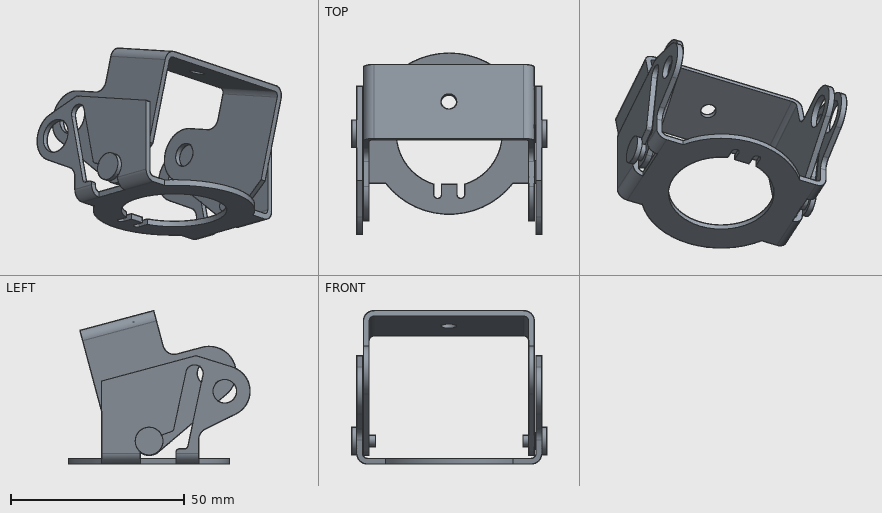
import cadquery as cq
import math


SHEET = 1.7
BEND_RADIUS = 3.1

BASE_WIDTH = 53.35
BASE_HALF = BASE_WIDTH / 2
BASE_BACK = 13.7
BASE_FRONT = -14.3
RING_RADIUS = 23.25
BORE_RADIUS = 15.2
KEY_SLOT_WIDTH = 2.15
KEY_SLOT_SPACING = 6.7
KEY_SLOT_END = -18.65

PLATE_BACK_HEIGHT = 23.95
PLATE_PEAK = (-13.5, 31.25)
PLATE_EYE = (-21.8, 21.0)
PLATE_EYE_RADIUS = 7.3
PLATE_CHIN_ANGLE = 26.2
PLATE_NECK_FILLET = 3.5

LEFT_HOLE_RADIUS = 3.4
RIGHT_HOLE_RADIUS = 4.85

PIN_HEIGHT = 6.65
PIN_SPAN = 56.35
PIN_TIP_SPAN = 42.35
HEAD_RADIUS = 4.0
COLLAR_RADIUS = 2.5
SHANK_RADIUS = 1.7

GUIDE_TOP = (-13.05, 26.15)
GUIDE_LEAN = 12.0
GUIDE_SEAT_ANGLE = 30.0
GUIDE_CORNER = (-7.0, 9.6)
GUIDE_FLOOR = 4.45
NOTCH_FRONT = -7.7
GUIDE_FILLET = 1.0

BAIL_TILT = 15.0
BAIL_WIDTH = 49.3
BAIL_HALF = BAIL_WIDTH / 2
BAIL_OFFSET = -0.1
BAIL_HEIGHT = 36.0
BAIL_DEPTH = 22.1
BAIL_BACK_CORNER = 8.45
BAIL_FOOT_RADIUS = 4.15
BAIL_EYE = (-21.75, 14.35)
BAIL_EYE_RADIUS = 7.85
BAIL_INNER_FILLET = 3.2
BAIL_TOP_HOLE = 4.5


def on_circle(centre, radius, degrees):
    """Point on a circle at the given angle."""
    angle = math.radians(degrees)
    return (centre[0] + radius * math.cos(angle), centre[1] + radius * math.sin(angle))


def tangent_angle(point, centre, radius, side):
    """Angle on a circle where a line from an outside point touches it; side is +1 or -1."""
    dy = point[0] - centre[0]
    dz = point[1] - centre[1]
    opening = math.acos(radius / math.hypot(dy, dz))
    return math.degrees(math.atan2(dz, dy) + side * opening)


def across_x(outline, x_start, x_end):
    """Extrude a closed (Y, Z) outline between two X positions."""
    return outline.extrude(x_end - x_start).translate((x_start, 0, 0))


def rod(radius, centre, x_start, x_end):
    """Cylinder along X around a (Y, Z) centre."""
    return across_x(cq.Workplane("YZ").center(*centre).circle(radius), x_start, x_end)


def channel(width, height, y_start, y_end):
    """U-shaped sheet, open at the top, with its web on Z = 0 and rounded bends."""
    outer = (
        cq.Workplane("XY").box(width, y_end - y_start, height, centered=(True, False, False))
        .edges("|Y and <Z").fillet(BEND_RADIUS)
    )
    inner = (
        cq.Workplane("XY").box(width - 2 * SHEET, y_end - y_start, height, centered=(True, False, False))
        .edges("|Y and <Z").fillet(BEND_RADIUS - SHEET)
        .translate((0, 0, SHEET))
    )
    return outer.cut(inner).translate((0, y_start, 0))


def cut_eye_holes(body, centre):
    """Cut the small eye hole on the left side and the large one on the right side."""
    body = body.cut(rod(LEFT_HOLE_RADIUS, centre, -BASE_HALF, 0))
    return body.cut(rod(RIGHT_HOLE_RADIUS, centre, 0, BASE_HALF))


def plate_blank():
    """Side outline of the upright plates, extruded over the full width."""
    upper = on_circle(PLATE_EYE, PLATE_EYE_RADIUS, tangent_angle(PLATE_PEAK, PLATE_EYE, PLATE_EYE_RADIUS, 1))
    lower = on_circle(PLATE_EYE, PLATE_EYE_RADIUS, -90 - PLATE_CHIN_ANGLE)
    neck_height = lower[1] - (BASE_FRONT - lower[0]) * math.tan(math.radians(PLATE_CHIN_ANGLE))
    outline = (
        cq.Workplane("YZ")
        .moveTo(BASE_FRONT, 0)
        .lineTo(BASE_BACK, 0)
        .lineTo(BASE_BACK, PLATE_BACK_HEIGHT)
        .lineTo(*PLATE_PEAK)
        .lineTo(*upper)
        .threePointArc(on_circle(PLATE_EYE, PLATE_EYE_RADIUS, 180), lower)
        .lineTo(BASE_FRONT, neck_height)
        .close()
    )
    neck = cq.selectors.NearestToPointSelector((0, BASE_FRONT, neck_height))
    return across_x(outline, -BASE_HALF, BASE_HALF).edges("|X").edges(neck).fillet(PLATE_NECK_FILLET)


def guide_slot(x_start, x_end):
    """Guide slot with its pin seat and the notch that opens it through the bend."""
    pin = (0, PIN_HEIGHT)
    seat_end = on_circle(pin, COLLAR_RADIUS, 180 - GUIDE_SEAT_ANGLE)
    lean = math.radians(GUIDE_LEAN)
    front_wall = on_circle(GUIDE_TOP, COLLAR_RADIUS, 180 + GUIDE_LEAN)
    floor_front = front_wall[0] + (front_wall[1] - GUIDE_FLOOR) * math.tan(lean)
    outline = (
        cq.Workplane("YZ")
        .moveTo(COLLAR_RADIUS, 0)
        .lineTo(COLLAR_RADIUS, PIN_HEIGHT)
        .threePointArc(on_circle(pin, COLLAR_RADIUS, 90), seat_end)
        .lineTo(*GUIDE_CORNER)
        .lineTo(*on_circle(GUIDE_TOP, COLLAR_RADIUS, GUIDE_LEAN))
        .threePointArc(on_circle(GUIDE_TOP, COLLAR_RADIUS, 90 + GUIDE_LEAN), front_wall)
        .lineTo(floor_front, GUIDE_FLOOR)
        .lineTo(NOTCH_FRONT, GUIDE_FLOOR)
        .lineTo(NOTCH_FRONT, 0)
        .close()
    )
    slot = across_x(outline, x_start, x_end)
    for corner in (GUIDE_CORNER, (floor_front, GUIDE_FLOOR), (NOTCH_FRONT, GUIDE_FLOOR)):
        nearest = cq.selectors.NearestToPointSelector(((x_start + x_end) / 2, *corner))
        slot = slot.edges("|X").edges(nearest).fillet(GUIDE_FILLET)
    return slot


def floor_opening():
    """Bore of the ring with the flat-topped key between two round-ended slots."""
    slot_outer_edge = (KEY_SLOT_SPACING + KEY_SLOT_WIDTH) / 2
    key_face = -math.sqrt(BORE_RADIUS**2 - slot_outer_edge**2)
    opening = cq.Workplane("XY").circle(BORE_RADIUS).extrude(SHEET)
    below_key = cq.Workplane("XY").box(2 * BORE_RADIUS, BORE_RADIUS, SHEET, centered=(True, False, False))
    opening = opening.cut(below_key.translate((0, key_face - BORE_RADIUS, 0)))
    slot_end_centre = KEY_SLOT_END + KEY_SLOT_WIDTH / 2
    for x in (-KEY_SLOT_SPACING / 2, KEY_SLOT_SPACING / 2):
        end = cq.Workplane("XY").center(x, slot_end_centre).circle(KEY_SLOT_WIDTH / 2).extrude(SHEET)
        straight = (
            cq.Workplane("XY").center(x, slot_end_centre / 2)
            .rect(KEY_SLOT_WIDTH, -slot_end_centre).extrude(SHEET)
        )
        opening = opening.union(end).union(straight)
    return opening


def make_base():
    """Bent base with a ring floor and two slotted upright plates."""
    tallest = PLATE_PEAK[1]
    front_end = PLATE_EYE[0] - PLATE_EYE_RADIUS
    base = channel(BASE_WIDTH, tallest, front_end, BASE_BACK).intersect(plate_blank())
    base = base.union(cq.Workplane("XY").circle(RING_RADIUS).extrude(SHEET))
    base = base.cut(floor_opening())
    bend_line = BASE_HALF - BEND_RADIUS
    base = base.cut(guide_slot(bend_line, BASE_HALF))
    base = base.cut(guide_slot(-BASE_HALF, -bend_line))
    return cut_eye_holes(base, PLATE_EYE)


def bail_blank():
    """Side outline of the untilted bail, extruded over its full width."""
    half_depth = BAIL_DEPTH / 2
    pin = (0, 0)
    shoulder = BAIL_EYE[1] + BAIL_EYE_RADIUS
    back_corner = (half_depth, BAIL_BACK_CORNER)
    foot_start = tangent_angle(back_corner, pin, BAIL_FOOT_RADIUS, -1)
    eye_distance = math.hypot(*BAIL_EYE)
    eye_direction = math.degrees(math.atan2(BAIL_EYE[1], BAIL_EYE[0]))
    taper = math.degrees(math.acos((BAIL_FOOT_RADIUS - BAIL_EYE_RADIUS) / eye_distance))
    tangent = eye_direction + taper
    outline = (
        cq.Workplane("YZ")
        .moveTo(half_depth, BAIL_HEIGHT)
        .lineTo(*back_corner)
        .lineTo(*on_circle(pin, BAIL_FOOT_RADIUS, foot_start))
        .threePointArc(on_circle(pin, BAIL_FOOT_RADIUS, -90), on_circle(pin, BAIL_FOOT_RADIUS, tangent))
        .lineTo(*on_circle(BAIL_EYE, BAIL_EYE_RADIUS, tangent))
        .threePointArc(on_circle(BAIL_EYE, BAIL_EYE_RADIUS, 180), (BAIL_EYE[0], shoulder))
        .lineTo(-half_depth, shoulder)
        .lineTo(-half_depth, BAIL_HEIGHT)
        .close()
    )
    inner_corner = cq.selectors.NearestToPointSelector((0, -half_depth, shoulder))
    return across_x(outline, -BAIL_HALF, BAIL_HALF).edges("|X").edges(inner_corner).fillet(BAIL_INNER_FILLET)


def make_bail():
    """Tilted strap whose legs hang between the plates on the two pins."""
    front_end = BAIL_EYE[0] - BAIL_EYE_RADIUS
    strap = (
        channel(BAIL_WIDTH, BAIL_HEIGHT + BAIL_FOOT_RADIUS, -BAIL_DEPTH / 2, -front_end)
        .rotate((0, 0, 0), (1, 0, 0), 180)
        .translate((0, 0, BAIL_HEIGHT))
    )
    bail = strap.intersect(bail_blank())
    bail = bail.cut(cq.Workplane("XY").circle(BAIL_TOP_HOLE / 2).extrude(BAIL_HEIGHT))
    bail = bail.cut(rod(SHANK_RADIUS, (0, 0), -BAIL_HALF, BAIL_HALF))
    bail = cut_eye_holes(bail, BAIL_EYE)
    bail = bail.rotate((0, 0, 0), (1, 0, 0), -BAIL_TILT)
    return bail.translate((BAIL_OFFSET, 0, PIN_HEIGHT))


def make_pin(side):
    """Stepped pin: head outside the plate, collar in the slot, shank through the bail leg."""
    centre = (0, PIN_HEIGHT)
    head_face = PIN_SPAN / 2
    collar_end = BAIL_HALF - BAIL_OFFSET
    pin = rod(SHANK_RADIUS, centre, PIN_TIP_SPAN / 2, head_face)
    pin = pin.union(rod(COLLAR_RADIUS, centre, collar_end, head_face))
    pin = pin.union(rod(HEAD_RADIUS, centre, BASE_HALF, head_face))
    return pin if side > 0 else pin.mirror("YZ")


base = make_base()
bail = make_bail()
pins = [make_pin(side) for side in (-1, 1)]

result = cq.Compound.makeCompound([body.solids().val() for body in (base, bail, *pins)])